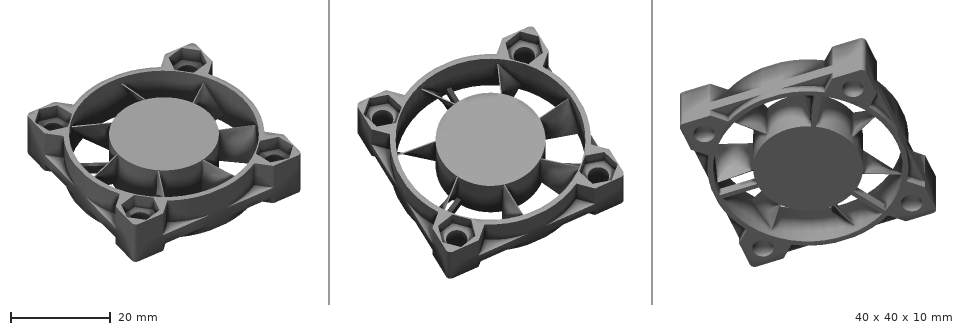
import cadquery as cq
import math

FRAME_SIDE = 40.0
FRAME_HEIGHT = 10.0
CORNER_RADIUS = 1.0
BORE_DIAMETER = 38.0
RING_OUTER_DIAMETER = 40.2
WEB_BOTTOM = 1.7
WEB_THICKNESS = 2.5

POST_WIDTH = 9.7
HOLE_SPACING = 32.0
HOLE_DIAMETER = 4.3
NUT_ACROSS_FLATS = 6.8
NUT_POCKET_DEPTH = 3.2

HUB_DIAMETER = 22.0
STRUT_COUNT = 3
STRUT_WIDTH = 1.0
STRUT_HEIGHT = 2.0

BLADE_COUNT = 7
FIRST_BLADE_ANGLE = -90.0
BLADE_CHORD = 8.0
BLADE_THICKNESS = 0.25
BLADE_OFFSET = 0.2
BLADE_TIP_RADIUS = 18.7
BLADE_TIP_PITCH = 36.0
BLADE_SINK = 0.05
BLADE_BOTTOM = STRUT_HEIGHT - BLADE_SINK

OVERLAP = 0.5


def cylinder(diameter, height):
    return cq.Workplane("XY").circle(diameter / 2).extrude(height)


def make_frame():
    """Square frame: a ring, four diagonal corner posts and a thin web between them."""
    envelope = (
        cq.Workplane("XY")
        .rect(FRAME_SIDE, FRAME_SIDE)
        .extrude(FRAME_HEIGHT)
        .edges("|Z")
        .fillet(CORNER_RADIUS)
    )
    frame = cylinder(RING_OUTER_DIAMETER, FRAME_HEIGHT)
    diagonal_length = FRAME_SIDE * math.sqrt(2)
    for angle in (45, 135):
        bar = (
            cq.Workplane("XY")
            .rect(diagonal_length, POST_WIDTH)
            .extrude(FRAME_HEIGHT)
            .rotate((0, 0, 0), (0, 0, 1), angle)
        )
        frame = frame.union(bar)
    web = (
        cq.Workplane("XY")
        .workplane(offset=WEB_BOTTOM)
        .rect(FRAME_SIDE, FRAME_SIDE)
        .extrude(WEB_THICKNESS)
    )
    return frame.union(web).intersect(envelope).cut(cylinder(BORE_DIAMETER, FRAME_HEIGHT))


def cut_screw_holes(frame):
    """Through hole and hexagonal nut pocket in each corner, one flat facing the bore."""
    nut_across_corners = NUT_ACROSS_FLATS / math.cos(math.radians(30))
    hole_radius_from_axis = HOLE_SPACING / 2 * math.sqrt(2)
    hole = cylinder(HOLE_DIAMETER, FRAME_HEIGHT)
    pocket = (
        cq.Workplane("XY")
        .workplane(offset=FRAME_HEIGHT - NUT_POCKET_DEPTH)
        .polygon(6, nut_across_corners)
        .extrude(NUT_POCKET_DEPTH)
        .rotate((0, 0, 0), (0, 0, 1), 30)
    )
    cutter = hole.union(pocket).translate((hole_radius_from_axis, 0, 0))
    for corner in range(4):
        frame = frame.cut(cutter.rotate((0, 0, 0), (0, 0, 1), 45 + 90 * corner))
    return frame


def make_struts():
    """Radial struts at the bottom, each with one side on a line through the axis."""
    start = HUB_DIAMETER / 2 - OVERLAP
    length = BORE_DIAMETER / 2 + OVERLAP - start
    strut = cq.Workplane("XY").box(length, STRUT_WIDTH, STRUT_HEIGHT, centered=False)
    strut = strut.translate((start, -STRUT_WIDTH, 0))
    struts = cq.Workplane("XY")
    for index in range(STRUT_COUNT):
        struts = struts.add(strut.rotate((0, 0, 0), (0, 0, 1), index * 360 / STRUT_COUNT))
    return struts


def blade_section(radius, pitch):
    """Thin rectangle facing +X, offset from the radial plane and leaning by the pitch angle."""
    mid_height = BLADE_BOTTOM + BLADE_CHORD / 2 * math.cos(math.radians(pitch))
    return (
        cq.Workplane("YZ", origin=(radius, -BLADE_OFFSET, mid_height))
        .transformed(rotate=(0, 0, -pitch))
        .rect(BLADE_THICKNESS, BLADE_CHORD)
        .wires()
        .val()
    )


def make_blades():
    """Blades that are upright at the hub and twist towards their tips."""
    root = blade_section(HUB_DIAMETER / 2 - OVERLAP, 0)
    tip = blade_section(BLADE_TIP_RADIUS, BLADE_TIP_PITCH)
    blade = cq.Workplane("XY").add(cq.Solid.makeLoft([root, tip], True))
    blades = cq.Workplane("XY")
    for index in range(BLADE_COUNT):
        angle = FIRST_BLADE_ANGLE + index * 360 / BLADE_COUNT
        blades = blades.add(blade.rotate((0, 0, 0), (0, 0, 1), angle))
    return blades


result = cut_screw_holes(make_frame()).union(cylinder(HUB_DIAMETER, FRAME_HEIGHT))
for piece in make_struts().vals() + make_blades().vals():
    result = result.union(cq.Workplane("XY").add(piece))